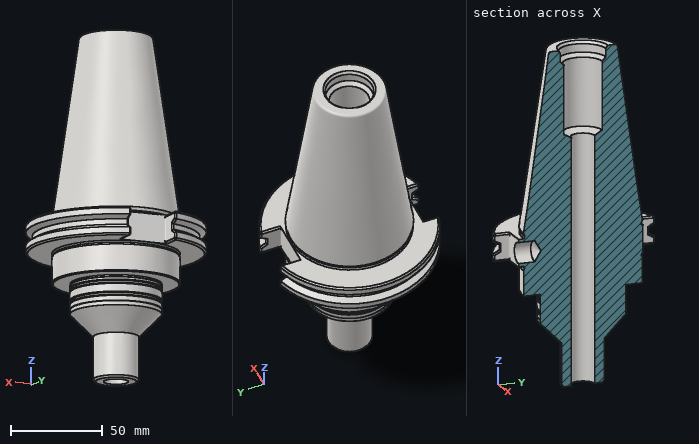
import cadquery as cq
import math


total_height = 191.7
gauge_dia = 69.8
gauge_z = 90.1
taper_ratio = 7 / 24
taper_top_fillet = 1.7
taper_top_dia = gauge_dia - (total_height - gauge_z) * taper_ratio

flange_dia = 98.3
flange_bottom_z = 71.1
flange_top_z = 87.0
flange_mid_z = (flange_bottom_z + flange_top_z) / 2
flange_chamfer = 1.0
v_floor_dia = 91.2
v_floor_width = 3.0
v_flank_angle = 30.0
v_flank_rise = (flange_dia - v_floor_dia) / 2 * math.tan(math.radians(v_flank_angle))
v_floor_half = v_floor_width / 2
v_mouth_half = v_floor_half + v_flank_rise

relief_depth = 0.8
relief_dia = gauge_dia - 2 * relief_depth
upper_relief_z = 88.2
upper_relief_end_dia = 69.4
lower_relief_z = 70.2
collar_top_z = 69.0

collar_dia = gauge_dia
collar_bottom_z = 54.0
collar_chamfer = 0.5

neck_dia = 50.5
neck_relief_dia = 50.0
neck_step = (neck_dia - neck_relief_dia) / 2
neck_top_z = 53.0
groove_centers_z = (50.5, 43.7)
groove_mouth_width = 2.3
groove_floor_width = 1.2
neck_band_bottom_z = 39.9
neck_bottom_z = 37.4
nose_dia = 25.0
nose_top_z = neck_bottom_z - (neck_relief_dia - nose_dia) / 2
nose_chamfer = 1.2

mouth_dia = 28.5
mouth_depth = 1.7
counterbore_dia = 26.5
counterbore_depth = 6.5
bore_dia = 22.0
bore_top_depth = counterbore_depth + (counterbore_dia - bore_dia) / 2
bore_depth = 48.0
through_dia = 13.5
drill_point_angle = 118.0
drill_half_angle = math.radians(drill_point_angle / 2)

slot_width = 26.3
slot_edge_chamfer = 1.0
slot_corner_fillet = 0.5
front_slot_floor = 37.8
back_slot_floor = 35.0

dimple_dia = 11.7
dimple_depth = 9.5


def drill_tip(large_dia, small_dia=0.0):
    """Height of a drill-point cone between two diameters."""
    return (large_dia - small_dia) / 2 / math.tan(drill_half_angle)


def revolve_about_z(points):
    """Turn (diameter, z) points into a solid of revolution, closed along the axis."""
    outline = [(0, points[0][1])]
    outline += [(dia / 2, z) for dia, z in points]
    outline.append((0, points[-1][1]))
    return cq.Workplane("XZ").polyline(outline).close().revolve(360, (0, 0, 0), (0, 1, 0))


def neck_groove(center_z):
    """Profile of one shallow groove with sloping sides, from the bottom up."""
    mouth_half = groove_mouth_width / 2
    floor_half = groove_floor_width / 2
    return [
        (neck_dia, center_z - mouth_half),
        (neck_relief_dia, center_z - floor_half),
        (neck_relief_dia, center_z + floor_half),
        (neck_dia, center_z + mouth_half),
    ]


def make_shank():
    """Nose, cone, neck, collar and taper."""
    profile = [
        (nose_dia - 2 * nose_chamfer, 0),
        (nose_dia, nose_chamfer),
        (nose_dia, nose_top_z),
        (neck_relief_dia, neck_bottom_z),
        (neck_relief_dia, neck_band_bottom_z - neck_step),
        (neck_dia, neck_band_bottom_z),
    ]
    for center_z in sorted(groove_centers_z):
        profile += neck_groove(center_z)
    profile += [
        (neck_dia, neck_top_z),
        (neck_relief_dia, neck_top_z + neck_step),
        (neck_relief_dia, collar_bottom_z),
        (collar_dia - 2 * collar_chamfer, collar_bottom_z),
        (collar_dia, collar_bottom_z + collar_chamfer),
        (collar_dia, collar_top_z),
        (relief_dia, lower_relief_z),
        (collar_dia, flange_bottom_z),
        (upper_relief_end_dia, flange_top_z),
        (relief_dia, upper_relief_z),
        (gauge_dia, gauge_z),
        (taper_top_dia, total_height),
    ]
    return revolve_about_z(profile).faces(">Z").edges().fillet(taper_top_fillet)


def cut_slot(flange, side, floor):
    """Cut one drive slot on the +Y (side = 1) or -Y (side = -1) side and finish its edges."""
    depth = flange_dia
    cutter = cq.Workplane("XY").box(slot_width, depth, total_height)
    flange = flange.cut(cutter.translate((0, side * (floor + depth / 2), flange_mid_z)))
    tolerance = 0.02
    wall_edges = []
    for face in flange.faces("|X").vals():
        if side * face.Center().y < 0:
            continue
        for edge in face.Edges():
            if abs(edge.Center().y - side * floor) > tolerance:
                wall_edges.append(edge)
    flange = flange.newObject(wall_edges).chamfer(slot_edge_chamfer)
    corner = cq.selectors.BoxSelector(
        (-slot_width, side * floor - tolerance, 0),
        (slot_width, side * floor + tolerance, total_height),
    )
    return flange.edges(corner).edges("|Z").fillet(slot_corner_fillet)


def make_flange():
    """Gripper flange with a V-groove and two drive slots."""
    rim_dia = flange_dia - 2 * flange_chamfer
    flange = revolve_about_z([
        (rim_dia, flange_bottom_z),
        (flange_dia, flange_bottom_z + flange_chamfer),
        (flange_dia, flange_mid_z - v_mouth_half),
        (v_floor_dia, flange_mid_z - v_floor_half),
        (v_floor_dia, flange_mid_z + v_floor_half),
        (flange_dia, flange_mid_z + v_mouth_half),
        (flange_dia, flange_top_z - flange_chamfer),
        (rim_dia, flange_top_z),
    ])
    flange = cut_slot(flange, -1, front_slot_floor)
    return cut_slot(flange, 1, back_slot_floor)


def make_bore():
    """Stepped bore that runs through the whole holder."""
    return revolve_about_z([
        (through_dia, 0),
        (through_dia, total_height - bore_depth - drill_tip(bore_dia, through_dia)),
        (bore_dia, total_height - bore_depth),
        (bore_dia, total_height - bore_top_depth),
        (counterbore_dia, total_height - counterbore_depth),
        (counterbore_dia, total_height - mouth_depth),
        (mouth_dia, total_height),
    ])


def make_dimple():
    """Blind drilled hole with a pointed end, entering from -Y."""
    radius = dimple_dia / 2
    outline = [(0, 0), (radius, 0), (radius, dimple_depth), (0, dimple_depth + drill_tip(dimple_dia))]
    dimple = cq.Workplane("XZ").polyline(outline).close().revolve(360, (0, 0, 0), (0, 1, 0))
    return dimple.rotate((0, 0, 0), (1, 0, 0), -90).translate((0, -front_slot_floor, flange_mid_z))


result = make_shank().union(make_flange()).cut(make_bore()).cut(make_dimple())